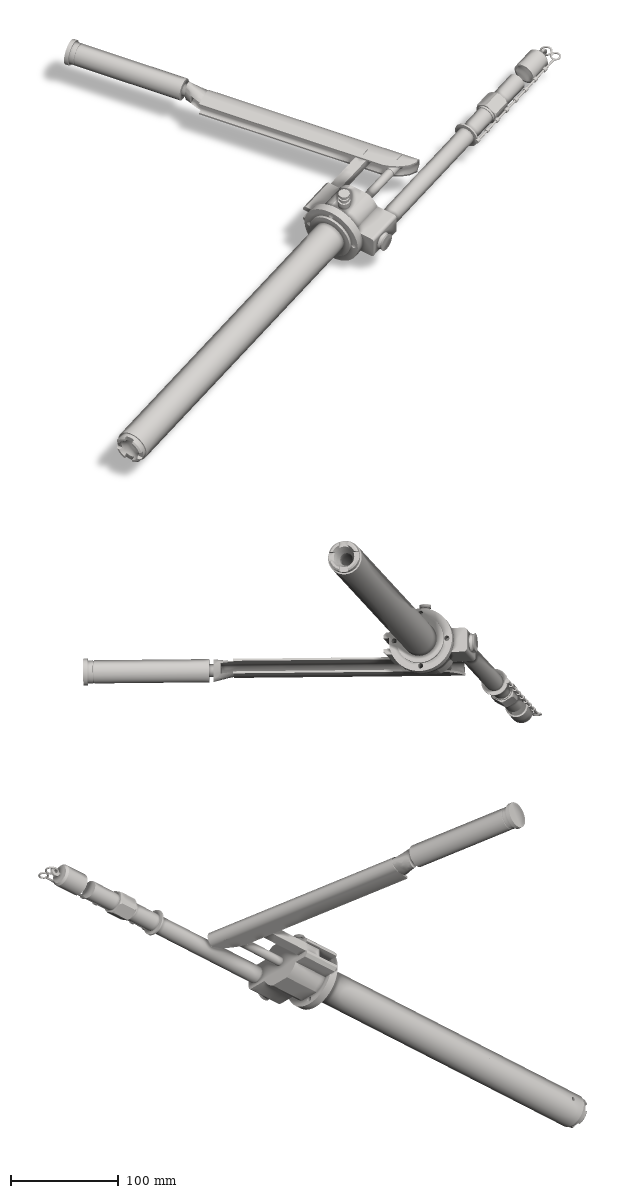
import cadquery as cq
import math


head_height = 37.6
head_radius = 24.0
head_half_thickness = 22.0
arm_left_end = -37.2
arm_half_thickness = 10.7
arm_chamfer = 3.0
outlet_right_end = 42.4
outlet_half_thickness = 11.5
outlet_fillet = 3.0
flange_radius = 30.0
flange_thickness = 8.0
flange_hole_diameter = 5.0
flange_hole_circle = 25.0
ring_radius = 22.5
ring_thickness = 2.5

tube_radius = 16.0
tube_end_y = -341.7
tube_tip_length = 7.0
tube_tip_radius = 14.6
tube_tip_chamfer = 1.5
tube_notch_width = 8.5
tube_notch_depth = 3.5
tube_mouth_radius = 11.0
tube_mouth_depth = 14.0
tube_bore_radius = 6.0
tube_bore_depth = 60.0
tube_pin_hole_diameter = 4.0
tube_pin_hole_y = tube_end_y + 20.5

fitting_y = 13.2
fitting_top = 37.9
fitting_base_radius = 5.8
fitting_base_height = 6.5
fitting_ring_radius = 5.3
fitting_neck_radius = 4.2
fitting_ring_height = 3.0
plug_end = 48.1
plug_radius = 8.6
plug_thickness = 4.5
plug_groove_depth = 1.0
plug_neck_radius = 7.0

lever_angle = 10.0
lever_origin = (-333.01, 47.3)
pin_radius = 4.0
pin_slot_width = 0.8
pin_slot_depth = 1.0
link_pin = (-29.8, 91.7)
rod_pin = (0.0, 103.9)

knob_radius = 12.5
knob_thickness = 4.0
grip_radius = 10.8
grip_end = 117.0
grip_collar_end = 9.0
grip_groove_width = 1.0
grip_groove_depth = 0.6
lever_neck_radius = 6.0
shank_start = 121.0
shank_half_height = 6.5
channel_start = 140.0
channel_radius = 7.0
channel_depth = 17.0
channel_wall = 2.0
channel_end = 354.5
channel_tip = 355.5
channel_taper_start = 316.0
channel_taper_middle = (337.5, -14.5)
channel_taper_end = (350.5, -7.0)
channel_hollow_start = 128.0

link_thickness = 9.0
link_width = 10.6
link_foot_pin = (link_pin[0], 22.0)
link_foot_pin_radius = 2.4
slot_width = 10.0
slot_bottom_x = link_pin[0] + link_width / 2

rod_radius = 4.4
rod_head_radius = 4.7
rod_head_start = 87.0
rod_groove_width = 1.5
rod_groove_depth = 0.8
rod_socket_bottom = 10.0

pipe_x = 31.6
pipe_radius = 8.6
pipe_end = 251.2
pipe_foot_groove_height = 1.5
pipe_foot_groove_depth = 0.7
nut_bottom = 200.5
nut_top = 220.5
nut_flats = 21.0
nut_chamfer = 1.0
washer_thickness = 2.0
washer_radius = 9.6

cap_bottom = 263.0
cap_top = 288.7
cap_radius = 10.7
cap_wall = 1.6
cap_chamfer = 2.0
collar_y = 168.5
collar_thickness = 1.6
collar_radius = 12.5
wire_radius = 0.9
cap_ring_center = (pipe_x + 0.4, 298.7)
cap_ring_radius = 5.2
chain_x = 44.2
chain_ring_radius = 4.2
chain_ring_center = (plug_end - wire_radius - chain_ring_radius, 298.2)
chain_wire_radius = 1.1
chain_bead_radius = 2.1
chain_bead_height = 3.5
chain_bead_count = 8
chain_bead_pitch = 15.7
eye_y = 294.6
eye_radius = 4.6
eye_hole_radius = 1.6
eye_thickness = 2.4
stem_radius = 1.3


def along_y(x, start, end, radius):
    """Round bar parallel to Y, centred on Z = 0."""
    return cq.Workplane("XZ", origin=(x, end, 0)).circle(radius).extrude(end - start)


def along_x(start, end, radius, y=0.0):
    """Round bar parallel to X, centred on Z = 0."""
    return cq.Workplane("YZ", origin=(start, y, 0)).circle(radius).extrude(end - start)


def along_z(point, half_length, radius):
    """Round bar parallel to Z, symmetric about Z = 0."""
    return cq.Workplane("XY").center(*point).circle(radius).extrude(half_length, both=True)


def block(x_range, y_range, half_thickness):
    """Rectangular block, symmetric about Z = 0."""
    width = x_range[1] - x_range[0]
    height = y_range[1] - y_range[0]
    corner = cq.Workplane("XY", origin=(x_range[0], y_range[0], -half_thickness))
    return corner.box(width, height, 2 * half_thickness, centered=False)


def slotted_pin(point, half_length, radius):
    """Cross pin along Z with a screwdriver slot, parallel to Y, in its upper end."""
    pin = along_z(point, half_length, radius)
    slot = cq.Workplane("XY", origin=(*point, half_length))
    slot = slot.box(pin_slot_width, 2 * radius, 2 * pin_slot_depth)
    return pin.cut(slot)


def wire_ring(center, radius):
    """Wire ring lying in the XY plane."""
    ring = cq.Solid.makeTorus(radius, wire_radius, cq.Vector(*center, 0), cq.Vector(0, 0, 1))
    return cq.Workplane(obj=ring)


def make_head():
    barrel = along_y(0, 0, head_height, head_radius)
    barrel = barrel.intersect(block((-head_radius, head_radius), (0, head_height), head_half_thickness))
    arm = block((arm_left_end, 0), (0, head_height), arm_half_thickness)
    arm = arm.faces("<X").edges("|Y").chamfer(arm_chamfer)
    outlet = block((0, outlet_right_end), (0, head_height), outlet_half_thickness)
    outlet = outlet.faces(">X").edges("|Y").fillet(outlet_fillet)
    head = barrel.union(arm).union(outlet)
    slot = block((arm_left_end, slot_bottom_x), (0, head_height), slot_width / 2)
    pin_hole = along_z(link_foot_pin, arm_half_thickness, link_foot_pin_radius)
    rod_socket = along_y(0, rod_socket_bottom, head_height, rod_radius)
    return head.cut(slot).cut(pin_hole).cut(rod_socket)


def make_flange():
    flange = along_y(0, -flange_thickness, 0, flange_radius)
    holes = (
        cq.Workplane("XZ")
        .polarArray(flange_hole_circle, 0, 360, 4)
        .circle(flange_hole_diameter / 2)
        .extrude(flange_thickness)
    )
    ring = along_y(0, -flange_thickness - ring_thickness, -flange_thickness, ring_radius)
    return flange.cut(holes).union(ring)


def make_tube():
    tube = along_y(0, tube_end_y + tube_tip_length, 0, tube_radius)
    tip = along_y(0, tube_end_y, 0, tube_tip_radius).faces("<Y").edges().chamfer(tube_tip_chamfer)
    tube = tube.union(tip)
    bore_profile = [
        (0, tube_end_y),
        (tube_mouth_radius, tube_end_y),
        (tube_bore_radius, tube_end_y + tube_mouth_depth),
        (tube_bore_radius, tube_end_y + tube_bore_depth),
        (0, tube_end_y + tube_bore_depth),
    ]
    bore = cq.Workplane("XY").polyline(bore_profile).close().revolve(360, (0, 0, 0), (0, 1, 0))
    tube = tube.cut(bore)
    notch = cq.Workplane("XY", origin=(0, tube_end_y, 0))
    notch = notch.box(4 * tube_radius, 2 * tube_notch_depth, tube_notch_width)
    for turn in (0, 90):
        tube = tube.cut(notch.rotate((0, 0, 0), (0, 1, 0), turn))
    pin_hole = along_x(-tube_radius, 0, tube_pin_hole_diameter / 2, tube_pin_hole_y)
    return tube.cut(pin_hole)


def make_top_fitting():
    base_top = head_half_thickness + fitting_base_height
    top_ring = fitting_top - fitting_ring_height
    low_ring = (base_top + top_ring - fitting_ring_height) / 2
    sections = [
        (head_half_thickness, base_top, fitting_base_radius),
        (base_top, fitting_top, fitting_neck_radius),
        (low_ring, low_ring + fitting_ring_height, fitting_ring_radius),
        (top_ring, fitting_top, fitting_ring_radius),
    ]
    fitting = cq.Workplane("XY")
    for bottom, top, radius in sections:
        section = cq.Workplane("XY", origin=(0, fitting_y, bottom)).circle(radius).extrude(top - bottom)
        fitting = fitting.union(section)
    return fitting


def make_side_plug():
    start = plug_end - plug_thickness
    profile = [
        (start, 0),
        (start, plug_radius),
        (plug_end - plug_thickness / 2, plug_radius - plug_groove_depth),
        (plug_end, plug_radius),
        (plug_end, 0),
    ]
    plug = cq.Workplane("XY").polyline(profile).close().revolve(360, (0, 0, 0), (1, 0, 0))
    neck = along_x(outlet_right_end, start, plug_neck_radius, fitting_y)
    return plug.translate((0, fitting_y, 0)).union(neck)


def make_pump_body():
    body = make_head().union(make_flange()).union(make_tube())
    return body.union(make_top_fitting()).union(make_side_plug())


def make_grip():
    grip = along_x(0, knob_thickness, knob_radius)
    grip = grip.union(along_x(knob_thickness, grip_end, grip_radius))
    groove_end = grip_collar_end + grip_groove_width
    groove = along_x(grip_collar_end, groove_end, grip_radius)
    groove_core = along_x(grip_collar_end, groove_end, grip_radius - grip_groove_depth)
    neck = along_x(grip_end, shank_start, lever_neck_radius)
    return grip.cut(groove.cut(groove_core)).union(neck)


def make_shank():
    """Flattened tube that leads from the round grip to the channel."""
    section_height = channel_radius + channel_depth
    section_drop = channel_radius - section_height / 2
    return (
        cq.Workplane("YZ", origin=(shank_start, 0, 0))
        .ellipse(shank_half_height, grip_radius)
        .workplane(offset=channel_start - shank_start)
        .center(section_drop, 0)
        .ellipse(section_height / 2, channel_radius)
        .loft()
    )


def channel_section(radius, start):
    """Half-round back with two straight sides, run along X from start to the tip of the channel."""
    return (
        cq.Workplane("YZ", origin=(start, 0, 0))
        .moveTo(-channel_depth, -radius)
        .lineTo(0, -radius)
        .threePointArc((radius, 0), (0, radius))
        .lineTo(-channel_depth, radius)
        .close()
        .extrude(channel_tip - start)
    )


def make_channel():
    channel = channel_section(channel_radius, channel_start)
    side_outline = (
        cq.Workplane("XY")
        .moveTo(channel_start, channel_radius)
        .lineTo(channel_end, channel_radius)
        .lineTo(channel_end, 0)
        .lineTo(channel_tip, 0)
        .lineTo(*channel_taper_end)
        .threePointArc(channel_taper_middle, (channel_taper_start, -channel_depth))
        .lineTo(channel_start, -channel_depth)
        .close()
        .extrude(channel_radius, both=True)
    )
    return channel.intersect(side_outline)


def make_lever():
    lever = make_grip().union(make_shank()).union(make_channel())
    lever = lever.cut(channel_section(channel_radius - channel_wall, channel_hollow_start))
    lever = lever.rotate((0, 0, 0), (0, 0, 1), lever_angle).translate((*lever_origin, 0))
    for pin in (link_pin, rod_pin):
        lever = lever.cut(along_z(pin, channel_radius, pin_radius))
    return lever


def make_link():
    length = link_pin[1] - link_foot_pin[1]
    middle = (link_pin[1] + link_foot_pin[1]) / 2
    bar = (
        cq.Workplane("XY")
        .center(link_pin[0], middle)
        .slot2D(length + link_width, link_width, 90)
        .extrude(link_thickness / 2, both=True)
    )
    upper_pin = slotted_pin(link_pin, channel_radius, pin_radius)
    lower_pin = along_z(link_foot_pin, arm_half_thickness, link_foot_pin_radius)
    return bar.union(upper_pin).union(lower_pin)


def make_piston_rod():
    rod = along_y(0, rod_socket_bottom, rod_head_start, rod_radius)
    groove_top = rod_head_start + rod_groove_width
    rod = rod.union(along_y(0, rod_head_start, groove_top, rod_head_radius - rod_groove_depth))
    rod = rod.union(along_y(0, groove_top, rod_pin[1], rod_head_radius))
    rod = rod.union(cq.Workplane("XY", origin=(*rod_pin, 0)).sphere(rod_head_radius))
    return rod.union(slotted_pin(rod_pin, channel_radius, pin_radius))


def make_outlet_pipe():
    foot = head_height + pipe_foot_groove_height
    pipe = along_y(pipe_x, head_height, foot, pipe_radius - pipe_foot_groove_depth)
    pipe = pipe.union(along_y(pipe_x, foot, pipe_end, pipe_radius))
    corner_radius = nut_flats / 2 / math.cos(math.pi / 6)
    nut = (
        cq.Workplane("XZ", origin=(pipe_x, nut_top, 0))
        .transformed(rotate=(0, 0, 90))
        .polygon(6, 2 * corner_radius)
        .extrude(nut_top - nut_bottom)
    )
    rounding = along_y(pipe_x, nut_bottom, nut_top, corner_radius)
    rounding = rounding.edges().chamfer(2 * nut_chamfer, nut_chamfer)
    washer = along_y(pipe_x, nut_bottom - washer_thickness, nut_bottom, washer_radius)
    return pipe.union(nut.intersect(rounding)).union(washer)


def make_cap():
    cap = along_y(pipe_x, cap_bottom, cap_top, cap_radius).faces(">Y").edges().chamfer(cap_chamfer)
    cap = cap.cut(along_y(pipe_x, cap_bottom, cap_top - 2 * cap_wall, cap_radius - cap_wall))
    stem = along_y(pipe_x, cap_top, eye_y - eye_hole_radius, stem_radius)
    eye = along_x(pipe_x - eye_thickness / 2, pipe_x + eye_thickness / 2, eye_radius, eye_y)
    eye_hole = along_x(pipe_x - eye_thickness, pipe_x + eye_thickness, eye_hole_radius, eye_y)
    return cap.union(stem.union(eye).cut(eye_hole))


def make_chain():
    chain_top = chain_ring_center[1] - chain_ring_radius
    chain = along_y(chain_x, collar_y, chain_top, chain_wire_radius)
    for index in range(chain_bead_count):
        bead_y = collar_y + index * chain_bead_pitch
        half = chain_bead_height / 2
        chain = chain.union(along_y(chain_x, bead_y - half, bead_y + half, chain_bead_radius))
    return chain


def make_cap_and_chain():
    half = collar_thickness / 2
    collar = along_y(pipe_x, collar_y - half, collar_y + half, collar_radius)
    cap_ring = wire_ring(cap_ring_center, cap_ring_radius)
    chain_ring = wire_ring(chain_ring_center, chain_ring_radius)
    chain = make_cap().union(cap_ring).union(chain_ring).union(make_chain()).union(collar)
    return chain.cut(along_y(pipe_x, collar_y - collar_thickness, collar_y + collar_thickness, pipe_radius))


pump_body = make_pump_body()
lever = make_lever()
link = make_link()
piston_rod = make_piston_rod()
outlet_pipe = make_outlet_pipe()
cap_and_chain = make_cap_and_chain()

bodies = [pump_body, lever, link, piston_rod, outlet_pipe, cap_and_chain]
result = cq.Compound.makeCompound([body.solids().val() for body in bodies])